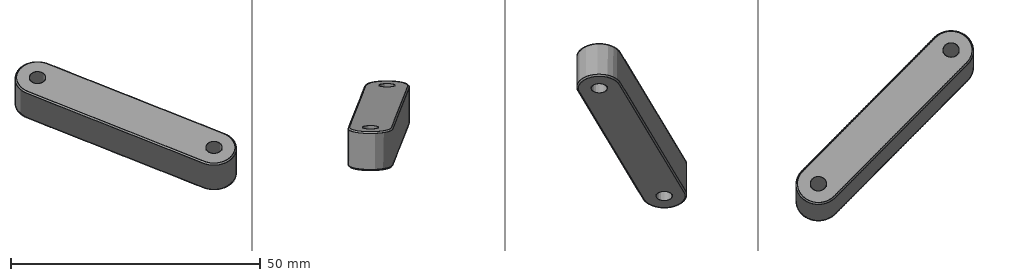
import cadquery as cq
import math

length_x = 43.65
end_radius = 4.5
thickness = 8.0
tilt = 30.0
hole_diameter = 3.25
edge_chamfer = 0.3

pitch = (length_x - 2 * end_radius) / math.cos(math.radians(tilt))


def link_body():
    """Round-ended bar along X with chamfered top and bottom rims."""
    bar = cq.Workplane("XY").slot2D(pitch + 2 * end_radius, 2 * end_radius).extrude(thickness)
    return bar.faces("<Z or >Z").edges().chamfer(edge_chamfer)


def pivot_holes():
    """Through holes concentric with the rounded ends."""
    centres = [(-pitch / 2, 0), (pitch / 2, 0)]
    return cq.Workplane("XY").pushPoints(centres).circle(hole_diameter / 2).extrude(thickness)


link = link_body().cut(pivot_holes())
result = link.rotate((0, 0, 0), (0, 0, 1), tilt)